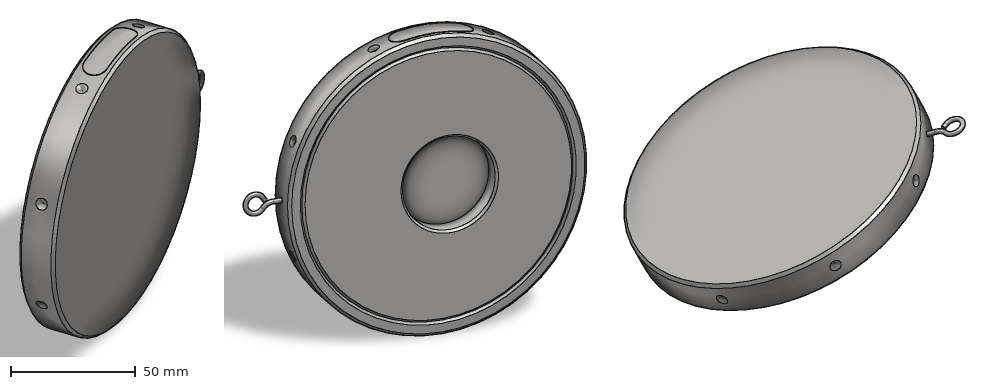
import cadquery as cq
import math

disc_diameter = 129.0
disc_thickness = 16.0
rim_chamfer = 1.3
disc_radius = disc_diameter / 2
front_x = -disc_thickness / 2

groove_mean_radius = 58.5
groove_width = 2.0

recess_diameter = 40.0
recess_offset = 5.0
recess_depth = disc_thickness / 2
recess_chamfer = 1.0

dimple_count = 8
dimple_diameter = 5.0
dimple_tip_diameter = 0.1
dimple_depth = 1.5

pad_length = 35.8
pad_width = 10.3
pad_height = 0.3

wire_diameter = 2.0
eye_radius = 4.0
overall_length = 145.4
eye_tip_y = overall_length - disc_radius
shank_end_y = 68.0
shank_embed = 2.9
eye_end_length = 1.7


def make_disc():
    body = cq.Workplane("YZ", origin=(front_x, 0, 0)).circle(disc_radius).extrude(disc_thickness)
    return body.faces("<X or >X").chamfer(rim_chamfer)


def make_groove():
    half_width = groove_width / 2
    return (
        cq.Workplane("XY")
        .moveTo(front_x, groove_mean_radius - half_width)
        .lineTo(front_x + half_width, groove_mean_radius)
        .lineTo(front_x, groove_mean_radius + half_width)
        .close()
        .revolve(360, (0, 0, 0), (1, 0, 0))
    )


def make_recess():
    face_plane = cq.Workplane("YZ", origin=(front_x, -recess_offset, 0))
    bore = face_plane.circle(recess_diameter / 2).extrude(recess_depth)
    lead_in = face_plane.circle(recess_diameter / 2 + recess_chamfer).extrude(recess_chamfer, taper=45)
    return bore.union(lead_in)


def make_dimple():
    """Truncated cone on the +Z side of the rim, continued to twice its depth to clear the surface."""
    tip_radius = dimple_tip_diameter / 2
    mouth_radius = dimple_diameter / 2
    floor_z = disc_radius - dimple_depth
    return (
        cq.Workplane("XZ")
        .moveTo(0, floor_z)
        .lineTo(tip_radius, floor_z)
        .lineTo(2 * mouth_radius - tip_radius, floor_z + 2 * dimple_depth)
        .lineTo(0, floor_z + 2 * dimple_depth)
        .close()
        .revolve(360, (0, 0, 0), (0, 1, 0))
    )


def make_pad():
    column = cq.Workplane("XY").slot2D(pad_length, pad_width, 90).extrude(2 * disc_radius)
    outer = cq.Workplane("YZ").circle(disc_radius + pad_height).extrude(pad_width, both=True)
    inner = cq.Workplane("YZ").circle(disc_radius - pad_height).extrude(pad_width, both=True)
    return column.intersect(outer.cut(inner))


def make_eye():
    """Straight shank, reverse bend, ring and a short straight end, all in the YZ plane."""
    eye_y = eye_tip_y - wire_diameter / 2 - eye_radius
    reach = eye_y - shank_end_y
    bend_radius = (reach**2 - eye_radius**2) / (2 * eye_radius)
    opening_angle = math.atan2(bend_radius, reach)
    half_bend = (math.pi / 2 - opening_angle) / 2
    ring_y = eye_y - eye_radius * math.cos(opening_angle)
    ring_z = eye_radius * math.sin(opening_angle)
    bend_mid = (
        shank_end_y + bend_radius * math.sin(half_bend),
        -bend_radius + bend_radius * math.cos(half_bend),
    )
    wire_path = (
        cq.Workplane("YZ")
        .moveTo(disc_radius - shank_embed, 0)
        .lineTo(shank_end_y, 0)
        .threePointArc(bend_mid, (ring_y, -ring_z))
        .threePointArc((eye_y + eye_radius, 0), (ring_y, ring_z))
        .line(-eye_end_length * math.sin(opening_angle), -eye_end_length * math.cos(opening_angle))
    )
    section = cq.Workplane("XZ", origin=(0, disc_radius - shank_embed, 0)).circle(wire_diameter / 2)
    return section.sweep(wire_path)


result = make_disc().cut(make_groove()).cut(make_recess())

dimple = make_dimple()
dimple_spacing = 360 / dimple_count
for index in range(dimple_count):
    angle = (index + 0.5) * dimple_spacing
    result = result.cut(dimple.rotate((0, 0, 0), (1, 0, 0), angle))

result = result.union(make_pad()).union(make_eye())